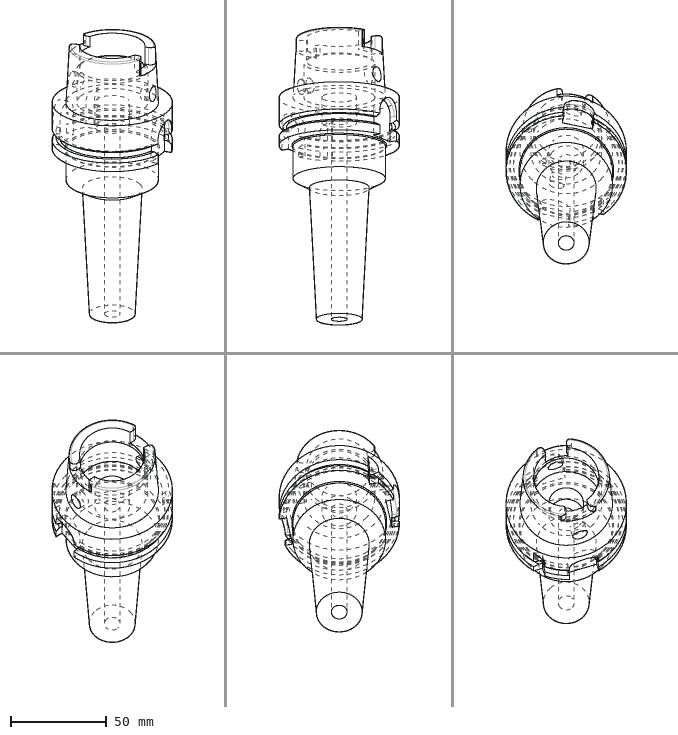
import cadquery as cq

total_height = 152.0
nose_top = 71.1
collar_bottom = 76.0
collar_top = 93.3
flange_bottom = 94.0
groove_bottom = 100.2
groove_top = 103.8
flange_top = 120.0
groove_lip_height = 1.4

nose_end_radius = 12.0
nose_top_radius = 15.7
collar_radius = 24.2
flange_radius = 31.5
groove_radius = 27.5
groove_lip_radius = 29.3
neck_radius = 24.8
shank_base_radius = 24.2
shank_top_radius = 22.5
shank_edge_fillet = 0.9

mouth_radius = 17.0
undercut_radius = 18.5
undercut_top = 139.4
undercut_slope_height = 0.9
cavity_floor = flange_top
socket_radius = 9.1
socket_depth = 13.7
through_radius = 4.1

drive_slot_width = 12.2
drive_slot_corner = 2.5
left_slot_floor = 146.2
right_slot_floor = 142.3

cross_hole_radius = 4.0
cross_hole_height = 129.0

keyway_radius = 8.0
keyway_top = 115.2
keyway_floor = 26.5
notch_radius = 7.0
notch_center_height = 108.7
notch_floor = 19.9
notch_wall = 19.6


def turned_body():
    outline = [
        (0, 0),
        (nose_end_radius, 0),
        (nose_top_radius, nose_top),
        (collar_radius, collar_bottom),
        (collar_radius, collar_top),
        (neck_radius, flange_bottom),
        (flange_radius, flange_bottom),
        (flange_radius, groove_bottom - groove_lip_height),
        (groove_lip_radius, groove_bottom),
        (groove_radius, groove_bottom),
        (groove_radius, groove_top),
        (groove_lip_radius, groove_top),
        (flange_radius, groove_top + groove_lip_height),
        (flange_radius, flange_top),
        (shank_base_radius, flange_top),
        (shank_top_radius, total_height),
        (0, total_height),
    ]
    return cq.Workplane("XZ").polyline(outline).close().revolve(360, (0, 0), (0, 1))


def stepped_bore():
    socket_floor = cavity_floor - socket_depth
    outline = [
        (0, 0),
        (through_radius, 0),
        (through_radius, socket_floor),
        (socket_radius, socket_floor),
        (socket_radius, cavity_floor),
        (undercut_radius, cavity_floor),
        (undercut_radius, undercut_top - undercut_slope_height),
        (mouth_radius, undercut_top),
        (mouth_radius, total_height),
        (0, total_height),
    ]
    return cq.Workplane("XZ").polyline(outline).close().revolve(360, (0, 0), (0, 1))


def drive_slot(side, floor):
    """Slot open at the shank end, on the -X (side=-1) or +X (side=1) wall, with rounded mouth corners."""
    height = total_height - floor
    slot = (
        cq.Workplane("XY", origin=(side * flange_radius / 2, 0, floor))
        .box(flange_radius, drive_slot_width, height, centered=(True, True, False))
    )
    center_y = drive_slot_width / 2 + drive_slot_corner
    center_distance = shank_top_radius - drive_slot_corner
    center_x = (center_distance**2 - center_y**2) ** 0.5
    rim_scale = shank_top_radius / center_distance
    for half in (-1, 1):
        corner = (
            cq.Workplane("XY", origin=(0, 0, floor))
            .moveTo(side * center_x, half * drive_slot_width / 2)
            .lineTo(side * flange_radius, half * drive_slot_width / 2)
            .lineTo(side * flange_radius, half * center_y * rim_scale)
            .lineTo(side * center_x * rim_scale, half * center_y * rim_scale)
            .lineTo(side * center_x, half * center_y)
            .close()
            .extrude(height)
        )
        rounding = (
            cq.Workplane("XY", origin=(side * center_x, half * center_y, floor))
            .circle(drive_slot_corner)
            .extrude(height)
        )
        slot = slot.union(corner.cut(rounding))
    return slot


def round_topped_cut(side, floor, center_y, center_height, radius):
    """Milled recess with a half-round top, running out through the flange underside."""
    leg_height = center_height - flange_bottom
    depth = flange_radius - floor
    middle = side * (floor + flange_radius) / 2
    leg = (
        cq.Workplane("XY", origin=(middle, center_y, flange_bottom))
        .box(depth, 2 * radius, leg_height, centered=(True, True, False))
    )
    round_top = (
        cq.Workplane("YZ", origin=(middle, center_y, center_height))
        .circle(radius)
        .extrude(depth / 2, both=True)
    )
    return leg.union(round_top)


body = turned_body().faces(">Z").edges().fillet(shank_edge_fillet)
body = body.cut(stepped_bore())

for side, slot_floor in ((-1, left_slot_floor), (1, right_slot_floor)):
    body = body.cut(drive_slot(side, slot_floor))
    body = body.cut(round_topped_cut(side, keyway_floor, 0, keyway_top - keyway_radius, keyway_radius))

notch_center_y = notch_wall + notch_radius
body = body.cut(round_topped_cut(-1, notch_floor, notch_center_y, notch_center_height, notch_radius))

cross_hole = (
    cq.Workplane("YZ", origin=(0, 0, cross_hole_height))
    .circle(cross_hole_radius)
    .extrude(flange_radius, both=True)
)
result = body.cut(cross_hole)